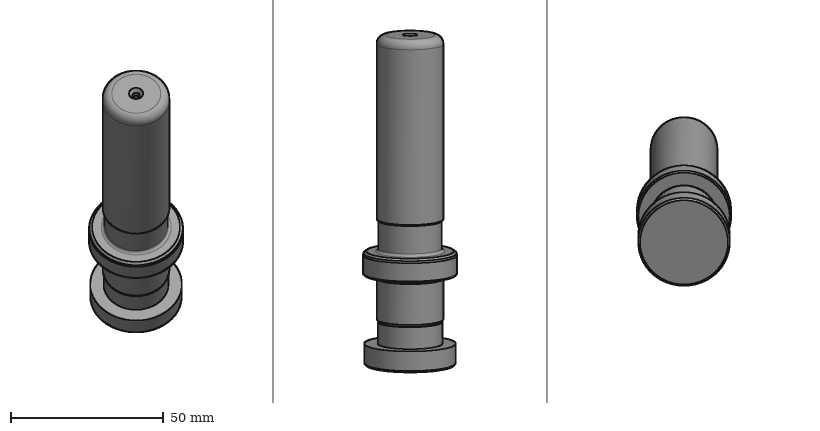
import cadquery as cq
import math

total_height = 110.0
joint_z = 14.4

pin_radius = 11.0
neck_radius = 10.5
nose_radius = 3.0
shank_bottom_z = 48.6
shank_chamfer = 0.5
root_fillet = 1.0
relief_top_chamfer = 0.3
foot_chamfer_radial = 1.0
foot_chamfer_height = 0.9

collar_radius = 15.5
collar_bottom_z = 30.0
collar_top_z = 38.0
collar_bottom_chamfer = 0.5
relief_height = 0.9
collar_taper_radial = 0.2
collar_bevel_radial = 0.9
collar_edge_height = 0.7

countersink_radius = 2.3
drill_radius = 1.2
countersink_half_angle = 45.0
drill_length = 1.8
drill_half_angle = 59.0

stub_radius = 10.7
flange_radius = 15.1
flange_height = 7.2
flange_chamfer = 0.7


def cone_depth(radial_change, half_angle):
    """Axial length of a cone over a given change in radius."""
    return radial_change / math.tan(math.radians(half_angle))


def make_centre_hole():
    """Countersunk hole with a conical bottom, opening at the pin's upper end."""
    countersink_bottom = total_height - cone_depth(
        countersink_radius - drill_radius, countersink_half_angle
    )
    drill_bottom = countersink_bottom - drill_length
    tip = drill_bottom - cone_depth(drill_radius, drill_half_angle)
    return (
        cq.Workplane("XZ")
        .moveTo(0, total_height)
        .lineTo(countersink_radius, total_height)
        .lineTo(drill_radius, countersink_bottom)
        .lineTo(drill_radius, drill_bottom)
        .lineTo(0, tip)
        .close()
        .revolve(360, (0, 0, 0), (0, 1, 0))
    )


def make_guide_pin():
    """Turned pin with foot, collar, neck, long shank and rounded nose."""
    relief_bottom_z = collar_bottom_z - relief_height
    taper_top_radius = collar_radius - collar_taper_radial
    bevel_bottom_z = collar_top_z - collar_edge_height
    body = (
        cq.Workplane("XZ")
        .moveTo(0, joint_z)
        .lineTo(pin_radius - foot_chamfer_radial, joint_z)
        .lineTo(pin_radius, joint_z + foot_chamfer_height)
        .lineTo(pin_radius, relief_bottom_z - relief_top_chamfer)
        .lineTo(neck_radius, relief_bottom_z)
        .lineTo(neck_radius, collar_bottom_z)
        .lineTo(collar_radius - collar_bottom_chamfer, collar_bottom_z)
        .lineTo(collar_radius, collar_bottom_z + collar_bottom_chamfer)
        .lineTo(collar_radius, bevel_bottom_z - collar_edge_height)
        .lineTo(taper_top_radius, bevel_bottom_z)
        .lineTo(taper_top_radius - collar_bevel_radial, collar_top_z)
        .lineTo(neck_radius + root_fillet, collar_top_z)
        .radiusArc((neck_radius, collar_top_z + root_fillet), root_fillet)
        .lineTo(neck_radius, shank_bottom_z - shank_chamfer)
        .lineTo(pin_radius, shank_bottom_z)
        .lineTo(pin_radius, total_height - nose_radius)
        .radiusArc((pin_radius - nose_radius, total_height), -nose_radius)
        .lineTo(0, total_height)
        .close()
        .revolve(360, (0, 0, 0), (0, 1, 0))
    )
    return body.cut(make_centre_hole())


def make_end_cap():
    """Flange with a chamfered lower edge and a stub that carries the pin."""
    flange = (
        cq.Workplane("XY")
        .circle(flange_radius)
        .extrude(flange_height)
        .faces("<Z")
        .chamfer(flange_chamfer)
    )
    stub = cq.Workplane("XY").circle(stub_radius).extrude(joint_z)
    return flange.union(stub)


guide_pin = make_guide_pin()
end_cap = make_end_cap()
result = cq.Compound.makeCompound([guide_pin.val(), end_cap.val()])